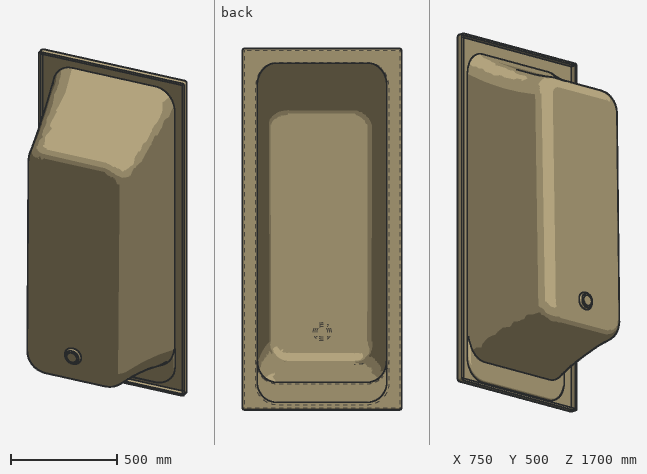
import cadquery as cq

rim_width = 750.0
rim_length = 1700.0
skirt_depth = 37.0
rim_corner = 14.0
rim_edge_round = 12.0
wall = 10.0

basin_half_width_at_rim = 315.0
side_taper = 0.134
head_z_at_rim = 790.0
head_z_middle = 670.0
head_z_at_floor = 585.0
foot_z_at_rim = -735.0
foot_z_middle = -670.0
foot_z_at_floor = -629.0
middle_depth = 216.0
floor_depth_at_head = 465.0
floor_depth_at_foot = 488.0
basin_corner = 105.0
floor_round = 63.0

shelf_end_z = -825.0
shelf_inner_z = -622.0
shelf_depth = 22.0
shelf_corner = 104.0
shelf_edge_round = 12.0
shelf_inner_edge_round = 7.0

outlet_z = -481.0
overall_depth = 500.0
outlet_base_radius = 42.0
outlet_shoulder_radius = 34.0
outlet_end_radius = 25.0
outlet_shoulder_drop = 3.0
outlet_root = 5.0
floor_slope = (floor_depth_at_foot - floor_depth_at_head) / (head_z_at_floor - foot_z_at_floor)
floor_depth_at_outlet = floor_depth_at_head + floor_slope * (head_z_at_floor - outlet_z)


def rim():
    """Flat rim plate with its skirt, open on the basin side."""
    outer = cq.Workplane("XZ").rect(rim_width, rim_length).extrude(skirt_depth)
    outer = outer.edges("|Y").fillet(rim_corner)
    outer = outer.faces(">Y").edges().fillet(rim_edge_round)
    recess = (
        cq.Workplane("XZ", origin=(0, -wall, 0))
        .rect(rim_width - 2 * wall, rim_length - 2 * wall)
        .extrude(skirt_depth)
    )
    return outer.cut(recess)


def basin(inset):
    """Basin body, its surface moved inwards by the inset."""
    head_floor = (inset - floor_depth_at_head, head_z_at_floor - inset)
    foot_floor = (inset - floor_depth_at_foot, foot_z_at_floor + inset)
    ends = (
        cq.Workplane("YZ")
        .moveTo(0, head_z_at_rim - inset)
        .threePointArc((-middle_depth, head_z_middle - inset), head_floor)
        .lineTo(*foot_floor)
        .threePointArc((-middle_depth, foot_z_middle + inset), (0, foot_z_at_rim + inset))
        .close()
        .extrude(rim_width / 2, both=True)
    )
    half_rim = basin_half_width_at_rim - inset
    half_bottom = half_rim - side_taper * overall_depth
    sides = (
        cq.Workplane("XY")
        .polyline([
            (-half_rim, 0),
            (half_rim, 0),
            (half_bottom, -overall_depth),
            (-half_bottom, -overall_depth),
        ])
        .close()
        .extrude(rim_length / 2, both=True)
    )
    body = ends.intersect(sides)
    body = body.edges("%ELLIPSE").fillet(basin_corner - inset)
    return body.faces("<Y").edges().fillet(floor_round - inset)


def shelf(inset, edge_round):
    """Shallow tray at the foot end, its surface moved inwards by the inset."""
    width = 2 * (basin_half_width_at_rim - inset)
    bottom = shelf_end_z + inset
    tray = (
        cq.Workplane("XZ")
        .center(0, (bottom + shelf_inner_z) / 2)
        .rect(width, shelf_inner_z - bottom)
        .extrude(shelf_depth - inset)
    )
    tray = tray.edges("|Y and <Z").fillet(shelf_corner - inset)
    return tray.faces("<Y").edges("not >Z").fillet(edge_round)


def outlet():
    """Flared waste boss with a bevelled end, rooted inside the floor thickness."""
    shoulder_depth = overall_depth - outlet_shoulder_drop
    root_depth = floor_depth_at_outlet - outlet_root
    return (
        cq.Workplane("XY", origin=(0, 0, outlet_z))
        .moveTo(0, -overall_depth)
        .lineTo(outlet_end_radius, -overall_depth)
        .lineTo(outlet_shoulder_radius, -shoulder_depth)
        .lineTo(outlet_base_radius, -floor_depth_at_outlet)
        .lineTo(outlet_base_radius, -root_depth)
        .lineTo(0, -root_depth)
        .close()
        .revolve(360, (0, 0, 0), (0, 1, 0))
    )


outer_form = rim().union(shelf(0, shelf_edge_round)).union(basin(0))
hollow_form = outer_form.cut(shelf(wall, shelf_inner_edge_round)).cut(basin(wall))
result = hollow_form.union(outlet())